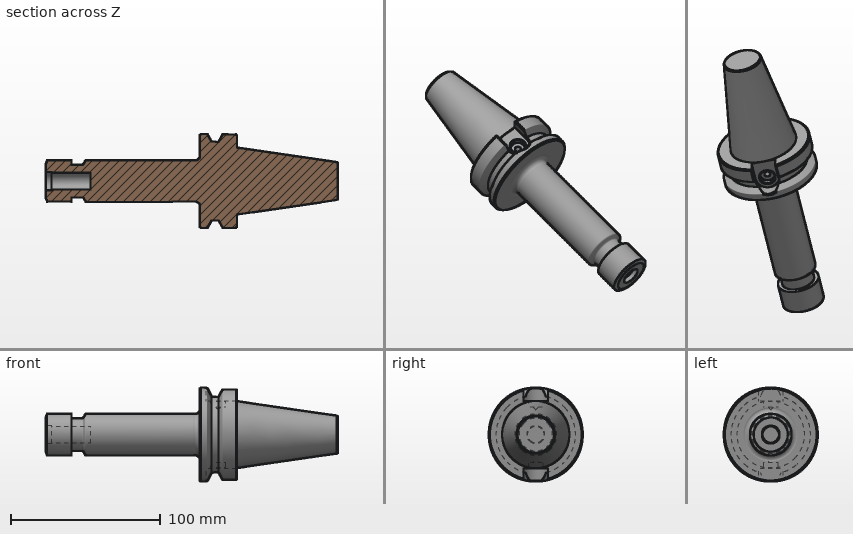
import cadquery as cq
import math

TOTAL_LENGTH = 195.4

NOSE_DIA = 28.0
NOSE_FACE_DIA = 22.8
NOSE_CHAMFER_LENGTH = 1.0
NOSE_LENGTH = 17.4
NECK_DIA = 22.0
NECK_END = 25.0
NECK_CONE_ANGLE = 30.0
NECK_FILLET = 1.0
SHANK_DIA = 28.0

FLANGE_FRONT = 103.0
FLANGE_WIDTH = 25.0
FLANGE_DIA = 63.0
FLANGE_CHAMFER = 0.8
GROOVE_DIA = 53.0
GROOVE_START = 8.0
GROOVE_FLOOR_WIDTH = 4.5
GROOVE_WALL_ANGLE = 30.0
GROOVE_RIM_FILLET = 0.5

RELIEF_RADIUS = 3.3
RELIEF_DIA = 27.8
RELIEF_FACE_DEPTH = 0.2
RELIEF_SHANK_RUNOUT = 1.1
RELIEF_FACE_RUNOUT = 0.9

GAUGE_DIA = 44.45
GAUGE_OFFSET = 2.0
TAPER_RATIO = 7 / 24
TAIL_CHAMFER_LENGTH = 0.8
TAIL_CHAMFER_DEPTH = 0.5

BORE_MOUTH_DIA = 12.0
BORE_MOUTH_DEPTH = 4.0
BORE_DIA = 11.0
BORE_DEPTH = 30.0

SLOT_TURNS = (0, 180)
SLOT_WIDTH = 16.1
SLOT_FLOOR_HEIGHT = 22.6
SLOT_CENTRE_FROM_REAR = 12.6
SLOT_EDGE_CHAMFER = 0.7
SLOT_CLEARANCE = 1.0
SCREW_HOLE_DIA = 10.0
SCREW_HOLE_MOUTH_DIA = 11.0
SCREW_HOLE_DEPTH = 4.0
SOCKET_DIA = 4.0
SOCKET_ANGLE = 90.0

EDGE_TOLERANCE = 0.01

FLANGE_REAR = FLANGE_FRONT + FLANGE_WIDTH
GROOVE_FRONT = FLANGE_FRONT + GROOVE_START
GROOVE_REAR = GROOVE_FRONT + GROOVE_FLOOR_WIDTH
GROOVE_DEPTH = (FLANGE_DIA - GROOVE_DIA) / 2
GROOVE_WALL_LENGTH = GROOVE_DEPTH * math.tan(math.radians(GROOVE_WALL_ANGLE))
GROOVE_FRONT_RIM = GROOVE_FRONT - GROOVE_WALL_LENGTH
GROOVE_REAR_RIM = GROOVE_REAR + GROOVE_WALL_LENGTH
SLOT_CENTRE = FLANGE_REAR - SLOT_CENTRE_FROM_REAR


def taper_radius(x):
    """Radius of the 7:24 taper at axial position x."""
    gauge_plane = FLANGE_REAR + GAUGE_OFFSET
    return (GAUGE_DIA - (x - gauge_plane) * TAPER_RATIO) / 2


def fillet_rings(part, positions, radius):
    """Round the circular edges of the part that lie at the given axial positions."""

    def at_position(edge):
        return any(abs(edge.Center().x - x) < EDGE_TOLERANCE for x in positions)

    rings = [edge for edge in part.edges("%CIRCLE").vals() if at_position(edge)]
    return cq.Workplane(part.val().fillet(radius, rings))


def make_body():
    """Solid of revolution: nose, neck, shank, flange and taper."""
    nose_r = NOSE_DIA / 2
    neck_r = NECK_DIA / 2
    shank_r = SHANK_DIA / 2
    flange_r = FLANGE_DIA / 2
    groove_r = GROOVE_DIA / 2

    cone_rear = NECK_END + (shank_r - neck_r) * math.tan(math.radians(NECK_CONE_ANGLE))
    relief_inner_r = RELIEF_DIA / 2
    relief_outer_r = relief_inner_r + RELIEF_RADIUS
    relief_rear = FLANGE_FRONT + RELIEF_FACE_DEPTH
    relief_front = relief_rear - RELIEF_RADIUS
    diagonal = RELIEF_RADIUS * math.sqrt(0.5)
    relief_middle = (relief_front + diagonal, relief_outer_r - diagonal)
    tail_start = TOTAL_LENGTH - TAIL_CHAMFER_LENGTH

    profile = (
        cq.Workplane("XY")
        .moveTo(0, 0)
        .lineTo(0, NOSE_FACE_DIA / 2)
        .lineTo(NOSE_CHAMFER_LENGTH, nose_r)
        .lineTo(NOSE_LENGTH, nose_r)
        .lineTo(NOSE_LENGTH, neck_r)
        .lineTo(NECK_END, neck_r)
        .lineTo(cone_rear, shank_r)
        .lineTo(relief_front - RELIEF_SHANK_RUNOUT, shank_r)
        .lineTo(relief_front, relief_inner_r)
        .threePointArc(relief_middle, (relief_rear, relief_outer_r))
        .lineTo(FLANGE_FRONT, relief_outer_r + RELIEF_FACE_RUNOUT)
        .lineTo(FLANGE_FRONT, flange_r - FLANGE_CHAMFER)
        .lineTo(FLANGE_FRONT + FLANGE_CHAMFER, flange_r)
        .lineTo(GROOVE_FRONT_RIM, flange_r)
        .lineTo(GROOVE_FRONT, groove_r)
        .lineTo(GROOVE_REAR, groove_r)
        .lineTo(GROOVE_REAR_RIM, flange_r)
        .lineTo(FLANGE_REAR - FLANGE_CHAMFER, flange_r)
        .lineTo(FLANGE_REAR, flange_r - FLANGE_CHAMFER)
        .lineTo(FLANGE_REAR, taper_radius(FLANGE_REAR))
        .lineTo(tail_start, taper_radius(tail_start))
        .lineTo(TOTAL_LENGTH, taper_radius(TOTAL_LENGTH) - TAIL_CHAMFER_DEPTH)
        .lineTo(TOTAL_LENGTH, 0)
        .close()
    )
    body = profile.revolve(360, (0, 0, 0), (1, 0, 0))
    return fillet_rings(body, (NECK_END, cone_rear), NECK_FILLET)


def make_bore():
    """Stepped blind bore in the nose."""
    mouth = cq.Workplane("YZ").circle(BORE_MOUTH_DIA / 2).extrude(BORE_MOUTH_DEPTH)
    bore = cq.Workplane("YZ").circle(BORE_DIA / 2).extrude(BORE_DEPTH)
    return mouth.union(bore)


def make_slot():
    """Upper drive slot: round at the front and open at the rear of the flange."""
    slot_r = SLOT_WIDTH / 2
    slot_height = FLANGE_DIA / 2 - SLOT_FLOOR_HEIGHT + SLOT_CLEARANCE
    floor = cq.Workplane("XY", origin=(SLOT_CENTRE, 0, SLOT_FLOOR_HEIGHT))
    outline = (
        floor.moveTo(SLOT_CENTRE_FROM_REAR, slot_r)
        .lineTo(0, slot_r)
        .threePointArc((-slot_r, 0), (0, -slot_r))
        .lineTo(SLOT_CENTRE_FROM_REAR, -slot_r)
        .close()
    )
    return outline.extrude(slot_height)


def make_screw_hole():
    """Chamfered round recess in the slot floor with a conical socket at its centre."""
    recess_floor = SLOT_FLOOR_HEIGHT - SCREW_HOLE_DEPTH
    recess = cq.Workplane("XY", origin=(SLOT_CENTRE, 0, recess_floor))
    recess = recess.circle(SCREW_HOLE_DIA / 2).extrude(SCREW_HOLE_DEPTH)
    mouth_depth = (SCREW_HOLE_MOUTH_DIA - SCREW_HOLE_DIA) / 2
    mouth = cq.Solid.makeCone(
        SCREW_HOLE_MOUTH_DIA / 2,
        SCREW_HOLE_DIA / 2,
        mouth_depth,
        pnt=cq.Vector(SLOT_CENTRE, 0, SLOT_FLOOR_HEIGHT),
        dir=cq.Vector(0, 0, -1),
    )
    cone_height = SOCKET_DIA / 2 / math.tan(math.radians(SOCKET_ANGLE / 2))
    socket = cq.Solid.makeCone(
        SOCKET_DIA / 2,
        0,
        cone_height,
        pnt=cq.Vector(SLOT_CENTRE, 0, recess_floor),
        dir=cq.Vector(0, 0, -1),
    )
    return recess.union(cq.Workplane(mouth)).union(cq.Workplane(socket))


def chamfer_slot_edges(part):
    """Break the edges where the slot walls meet the outer cylinder of the flange."""

    def on_slot_rim(edge):
        middle = edge.positionAt(0.5)
        on_cylinder = abs(math.hypot(middle.y, middle.z) - FLANGE_DIA / 2) < EDGE_TOLERANCE
        within_slot = abs(middle.y) < SLOT_WIDTH / 2 + EDGE_TOLERANCE
        return on_cylinder and within_slot and edge.geomType() != "CIRCLE"

    rim_edges = [edge for edge in part.edges().vals() if on_slot_rim(edge)]
    return cq.Workplane(part.val().chamfer(SLOT_EDGE_CHAMFER, None, rim_edges))


result = make_body().cut(make_bore())
drive_cut = make_slot().union(make_screw_hole())
for turn in SLOT_TURNS:
    result = result.cut(drive_cut.rotate((0, 0, 0), (1, 0, 0), turn))
result = chamfer_slot_edges(result)
result = fillet_rings(result, (GROOVE_FRONT_RIM, GROOVE_REAR_RIM), GROOVE_RIM_FILLET)